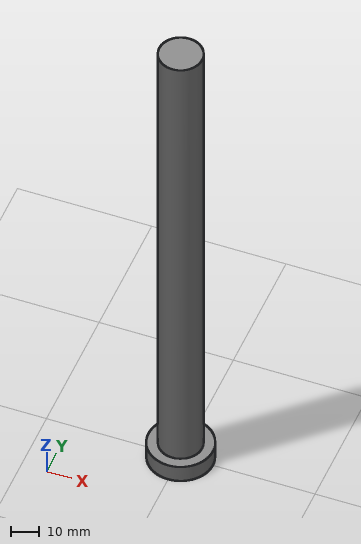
import cadquery as cq

total_length = 200.0
head_diameter = 24.0
head_height = 7.0
shank_diameter = 16.0

head = cq.Workplane("XY").circle(head_diameter / 2).extrude(head_height)
shank = cq.Workplane("XY").circle(shank_diameter / 2).extrude(total_length)

result = head.union(shank)